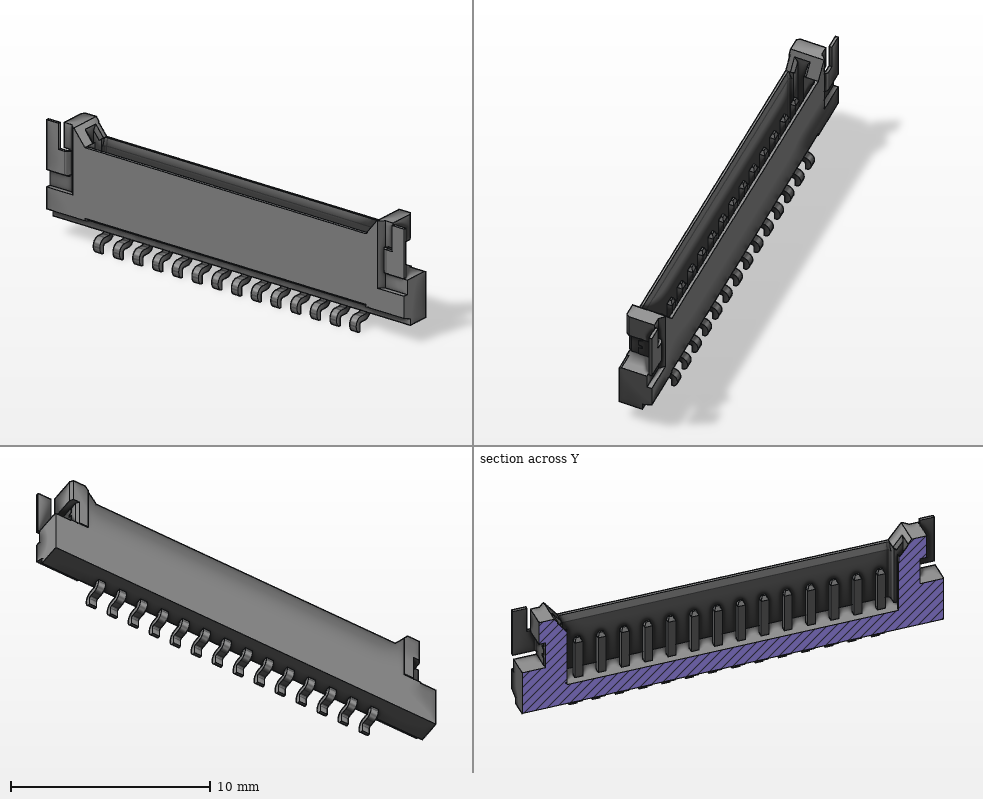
import cadquery as cq
import math

length = 22.65
half_length = length / 2
overall_height = 6.50
height = 5.45
wall_top = 4.56
block_top = 2.56
block_back = 1.80
post_back = 1.85

post_outer = 10.42
post_inner = 9.60
slope_foot = 8.90
post_pad_inner = 9.42
post_corner_x = 0.12
post_corner_y = 0.17
neck_outer = 10.07
neck_top = 4.07

recess_depth = 0.27
recess_floor = 1.77
recess_inner_back = 9.93
recess_inner_front = 9.65

block_chamfer_y = 0.12
block_chamfer_z = 0.06

undercut_depth = 0.52
undercut_height = 0.35
undercut_end_top = 0.56
undercut_middle_top = 0.69

cavity_front = 0.24
cavity_back = 1.59
cavity_end = slope_foot
cavity_floor = 1.20
cavity_corner = 0.15
mouth_chamfer_y = 0.08
mouth_chamfer_z = 0.42
pocket_end = 9.40
pocket_front = 0.82
pocket_back = 1.36
pocket_front_flare = 0.14
pocket_back_flare = 0.18
pocket_flare_depth = 0.18

contact_count = 14
pitch = 1.25
contact_width = 0.42
contact_front = 0.80
contact_back = 1.10
contact_top = 3.60
contact_tip_side = 0.10
contact_tip_height = 0.25
contact_root = 0.10
lead_front = -0.05
lead_bottom = height - overall_height
lead_thickness = 0.32
lead_bend_inner = 0.10
lead_shelf_top = -0.23
lead_tip_width = 0.13
lead_tip_height = 0.36

tab_thickness = 0.16
tab_bottom = 2.72
tab_upper_inner = 10.56
tab_plate_top = 4.02
tab_bend_radius = 0.25
tab_leg_inner = 9.93
tab_leg_back = 1.30
notch_heights = (3.09, 3.63)
notch_depth = 0.22
notch_mouth = 0.23
notch_end = 0.10


def block(x0, x1, y0, y1, z0, z1):
    return cq.Workplane("XY").box(x1 - x0, y1 - y0, z1 - z0, centered=False).translate((x0, y0, z0))


def extrude_x(points, x0, x1):
    """Prism along X from (y, z) points."""
    return cq.Workplane("YZ").polyline(points).close().extrude(x1 - x0).translate((x0, 0, 0))


def extrude_z(points, z0, z1):
    """Prism along Z from (x, y) points."""
    return cq.Workplane("XY").polyline(points).close().extrude(z1 - z0).translate((0, 0, z0))


def on_both_ends(shape):
    """The given +X end shape together with its mirror image."""
    return shape.union(shape.mirror("YZ"))


def make_shell():
    outline = [
        (-half_length, 0), (half_length, 0), (half_length, block_top), (neck_outer, block_top),
        (neck_outer, neck_top), (post_outer, neck_top), (post_outer, height), (post_inner, height),
        (slope_foot, wall_top), (-slope_foot, wall_top), (-post_inner, height), (-post_outer, height),
        (-post_outer, neck_top), (-neck_outer, neck_top), (-neck_outer, block_top),
        (-half_length, block_top),
    ]
    return cq.Workplane("XZ").polyline(outline).close().extrude(-block_back)


def make_post_pad():
    pad = block(post_pad_inner, post_outer, block_back, post_back, block_top, height)
    slope_limit = [(slope_foot, wall_top), (post_inner, height), (half_length, height),
                   (half_length, 0), (slope_foot, 0)]
    limit = cq.Workplane("XZ").polyline(slope_limit).close().extrude(-post_back)
    neck_gap = block(neck_outer, post_outer, 0, post_back, block_top, neck_top)
    return pad.intersect(limit).cut(neck_gap)


def make_post_corner_cut(side, bottom, top):
    points = [(side, post_back - post_corner_y), (side - post_corner_x, post_back), (side, post_back)]
    return extrude_z(points, bottom, top)


def make_front_recess():
    points = [
        (recess_inner_front, 0), (recess_inner_back, recess_depth),
        (half_length, recess_depth), (half_length, 0),
    ]
    return extrude_z(points, recess_floor, height)


def make_block_edge_cut():
    points = [
        (block_back - block_chamfer_y, block_top),
        (block_back, block_top),
        (block_back, block_top - block_chamfer_z),
    ]
    return extrude_x(points, post_outer, half_length)


def make_undercut(x0, x1, slope_top):
    """Step along the bottom front edge with a slope leading out to the front face."""
    points = [(0, 0), (undercut_depth, 0), (undercut_depth, undercut_height), (0, slope_top)]
    return extrude_x(points, x0, x1)


def make_cavity():
    room = block(-cavity_end, cavity_end, cavity_front, cavity_back, cavity_floor, height)
    room = room.edges("|Z").fillet(cavity_corner)
    mouth_slope = math.degrees(math.atan2(mouth_chamfer_y, mouth_chamfer_z))
    mouth_middle = (cavity_front + cavity_back) / 2
    mouth = (
        cq.Workplane("XY", origin=(0, mouth_middle, wall_top - mouth_chamfer_z))
        .sketch()
        .rect(2 * cavity_end, cavity_back - cavity_front)
        .vertices()
        .fillet(cavity_corner)
        .finalize()
        .extrude(mouth_chamfer_z, taper=-mouth_slope)
    )
    mouth_limit = block(-cavity_end, cavity_end, 0, post_back, 0, height)
    return room.union(mouth.intersect(mouth_limit))


def make_pocket():
    """Slot in the end wall of the cavity, flared where it opens on the sloping shoulder."""
    slot = block(0, pocket_end, pocket_front, pocket_back, cavity_floor, height)
    slope_run = post_inner - slope_foot
    slope_rise = height - wall_top
    slope_length = math.hypot(slope_run, slope_rise)
    shoulder = cq.Plane(
        origin=(slope_foot, 0, wall_top), xDir=(0, 1, 0), normal=(slope_run, 0, slope_rise)
    )
    flare = (
        cq.Workplane(shoulder)
        .polyline([
            (pocket_front, -pocket_flare_depth), (pocket_front - pocket_front_flare, 0),
            (pocket_back + pocket_back_flare, 0), (pocket_back, -pocket_flare_depth),
        ])
        .close()
        .extrude(slope_length * (pocket_end - slope_foot) / slope_run)
    )
    slot_length = block(0, pocket_end, 0, post_back, 0, height)
    return slot.union(flare.intersect(slot_length))


def make_tab():
    """L-shaped sheet: a front plate that bends back into the post."""
    bend_x = tab_leg_inner + tab_bend_radius
    inner_radius = tab_bend_radius - tab_thickness
    mid_arc = math.sqrt(0.5)
    sheet = (
        cq.Workplane("XY")
        .moveTo(half_length, 0)
        .lineTo(bend_x, 0)
        .threePointArc(
            (bend_x - tab_bend_radius * mid_arc, tab_bend_radius * (1 - mid_arc)),
            (tab_leg_inner, tab_bend_radius),
        )
        .lineTo(tab_leg_inner, tab_leg_back)
        .lineTo(tab_leg_inner + tab_thickness, tab_leg_back)
        .lineTo(tab_leg_inner + tab_thickness, tab_bend_radius)
        .threePointArc(
            (bend_x - inner_radius * mid_arc, tab_bend_radius - inner_radius * mid_arc),
            (bend_x, tab_thickness),
        )
        .lineTo(half_length, tab_thickness)
        .close()
        .extrude(tab_plate_top - tab_bottom)
        .translate((0, 0, tab_bottom))
    )
    upper_plate = block(tab_upper_inner, half_length, 0, tab_thickness, tab_plate_top, height)
    leg = block(tab_leg_inner, tab_leg_inner + tab_thickness, recess_depth, tab_leg_back, block_top, neck_top)
    return sheet.union(upper_plate).union(leg)


def make_tab_notch(z):
    """Tapered notch in the back edge of the tab leg."""
    points = [
        (tab_leg_back, z - notch_mouth / 2), (tab_leg_back, z + notch_mouth / 2),
        (tab_leg_back - notch_depth, z + notch_end / 2), (tab_leg_back - notch_depth, z - notch_end / 2),
    ]
    return extrude_x(points, neck_outer, half_length)


def make_contact():
    """Upright pin in the cavity with an S-shaped lead below the housing."""
    pin = block(-contact_width / 2, contact_width / 2, contact_front, contact_back,
                cavity_floor - contact_root, contact_top)
    pin = pin.faces(">Z").chamfer(contact_tip_height, contact_tip_side)
    shelf_bottom = lead_shelf_top - lead_thickness
    outer = lead_bend_inner + lead_thickness
    tip_back = lead_front + lead_thickness
    tip_run = lead_thickness - lead_tip_width
    tip_radius = math.hypot(tip_run, lead_tip_height) ** 2 / (2 * tip_run)
    lead = (
        cq.Workplane("YZ")
        .moveTo(contact_back, contact_root)
        .lineTo(contact_back, shelf_bottom + outer)
        .radiusArc((contact_back - outer, shelf_bottom), outer)
        .lineTo(tip_back + lead_bend_inner, shelf_bottom)
        .radiusArc((tip_back, shelf_bottom - lead_bend_inner), -lead_bend_inner)
        .lineTo(tip_back, lead_bottom)
        .lineTo(tip_back - lead_tip_width, lead_bottom)
        .radiusArc((lead_front, lead_bottom + lead_tip_height), tip_radius)
        .lineTo(lead_front, lead_shelf_top - outer)
        .radiusArc((lead_front + outer, lead_shelf_top), outer)
        .lineTo(contact_front - lead_bend_inner, lead_shelf_top)
        .radiusArc((contact_front, lead_shelf_top + lead_bend_inner), -lead_bend_inner)
        .lineTo(contact_front, contact_root)
        .close()
        .extrude(contact_width / 2, both=True)
    )
    return pin.union(lead)


housing = make_shell().union(on_both_ends(make_post_pad()))
end_cuts = (
    make_post_corner_cut(post_outer, neck_top, height),
    make_post_corner_cut(neck_outer, block_top, neck_top),
    make_front_recess(),
    make_block_edge_cut(),
    make_undercut(slope_foot, half_length, undercut_end_top),
)
for end_cut in end_cuts:
    housing = housing.cut(on_both_ends(end_cut))
housing = housing.cut(make_undercut(-slope_foot, slope_foot, undercut_middle_top))
housing = housing.cut(make_cavity()).cut(on_both_ends(make_pocket()))

tab = make_tab()
for notch_z in notch_heights:
    tab = tab.cut(make_tab_notch(notch_z))
result = housing.union(on_both_ends(tab))

contact = make_contact()
for index in range(contact_count):
    contact_x = (index - (contact_count - 1) / 2) * pitch
    result = result.union(contact.translate((contact_x, 0, 0)))